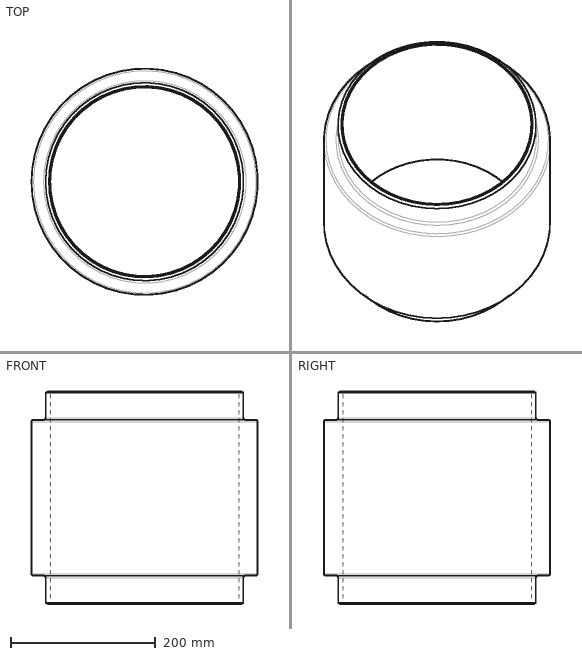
import cadquery as cq

total_length = 295.0
sleeve_diameter = 313.0
sleeve_length = 215.5
tube_diameter = 273.5
bore_diameter = 260.5
sleeve_edge_radius = 2.8
root_fillet_radius = 3.0
bevel_height = 2.2
bevel_width = 4.5

sleeve_radius = sleeve_diameter / 2
tube_radius = tube_diameter / 2
bore_radius = bore_diameter / 2
half_length = total_length / 2
half_sleeve = sleeve_length / 2

bevel_start = half_length - bevel_height
bevel_end_radius = tube_radius - bevel_width
root_start = half_sleeve + root_fillet_radius
root_end_radius = tube_radius + root_fillet_radius
sleeve_edge_start = half_sleeve - sleeve_edge_radius
sleeve_face_radius = sleeve_radius - sleeve_edge_radius

section = (
    cq.Workplane("XZ")
    .moveTo(-bore_radius, -half_length)
    .lineTo(-bevel_end_radius, -half_length)
    .lineTo(-tube_radius, -bevel_start)
    .lineTo(-tube_radius, -root_start)
    .tangentArcPoint((-root_end_radius, -half_sleeve), relative=False)
    .lineTo(-sleeve_face_radius, -half_sleeve)
    .tangentArcPoint((-sleeve_radius, -sleeve_edge_start), relative=False)
    .lineTo(-sleeve_radius, sleeve_edge_start)
    .tangentArcPoint((-sleeve_face_radius, half_sleeve), relative=False)
    .lineTo(-root_end_radius, half_sleeve)
    .tangentArcPoint((-tube_radius, root_start), relative=False)
    .lineTo(-tube_radius, bevel_start)
    .lineTo(-bevel_end_radius, half_length)
    .lineTo(-bore_radius, half_length)
    .close()
)

result = section.revolve(360, (0, 0, 0), (0, 1, 0))